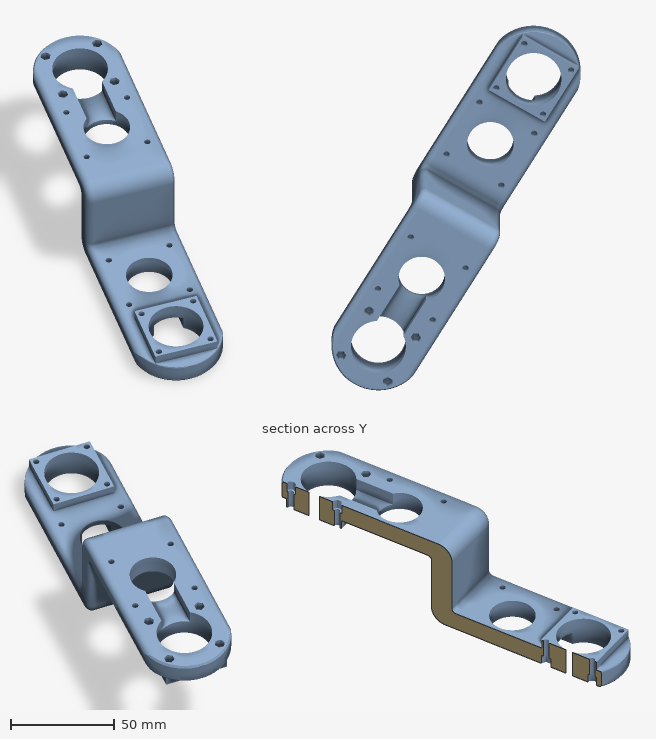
import cadquery as cq
import math

length = 191.0
width = 45.0
height = 49.0
arm_thickness = 10.0
web_thickness = 12.0

outer_bend_radius = 8.0
inner_bend_radius = 2.0
side_fillet = 3.0
strip_overlength = 11.5

end_radius = 22.7
end_flat_width = 5.2
outer_rim_drop = 1.1
outer_rim_inset = 0.8
inner_rim_drop = 0.5
inner_rim_inset = 0.2

end_hole_x = length / 2 - width / 2
upper_end_hole_diameter = 27.0
lower_end_hole_diameter = 26.5
middle_hole_x = 32.3
middle_hole_diameter = 22.5
pad_size = 31.7
pad_thickness = 5.0
screw_diameter = 3.0
end_screw_spacing = 26.4
middle_screw_spacing = 31.0
nut_corner_diameter = 5.2
nut_depth = arm_thickness / 2
channel_width = 14.9
channel_depth = 6.9

top_z = height / 2
arm_underside_z = top_z - arm_thickness


def half_turn(shape):
    """Copy for the lower arm: the arms match after a half turn about Y."""
    return shape.rotate((0, 0, 0), (0, 1, 0), 180)


def bent_strip():
    """Z-shaped strip with rounded bends and long edges, left overlong for trimming."""
    strip_end_x = length / 2 + strip_overlength
    web_x = web_thickness / 2
    profile = [
        (-strip_end_x, top_z),
        (web_x, top_z),
        (web_x, -arm_underside_z),
        (strip_end_x, -arm_underside_z),
        (strip_end_x, -top_z),
        (-web_x, -top_z),
        (-web_x, arm_underside_z),
        (-strip_end_x, arm_underside_z),
    ]
    strip = cq.Workplane("XZ").polyline(profile).close().extrude(width / 2, both=True)

    def bend_edges(x, z):
        reach = 0.2
        box = cq.selectors.BoxSelector(
            (x - reach, -width, z - reach), (x + reach, width, z + reach)
        )
        return strip.edges("|Y").edges(box)

    for side in (1, -1):
        strip = bend_edges(side * web_x, side * top_z).fillet(outer_bend_radius)
        strip = bend_edges(-side * web_x, side * arm_underside_z).fillet(inner_bend_radius)

    return strip.faces("<Y or >Y").edges("not(|Z and (<X or >X))").fillet(side_fillet)


def upper_arm_outline():
    """Round-ended plate with bevelled rims, flattened at both tips."""
    tip_sagitta = end_radius - math.sqrt(end_radius**2 - (end_flat_width / 2) ** 2)
    plate = cq.Workplane("XY", origin=(0, 0, arm_underside_z))
    plate = plate.slot2D(length + 2 * tip_sagitta, 2 * end_radius).extrude(arm_thickness)
    plate = plate.faces(">Z").chamfer(outer_rim_drop, outer_rim_inset)
    plate = plate.faces("<Z").chamfer(inner_rim_drop, inner_rim_inset)
    return plate.intersect(cq.Workplane("XY").box(length, 2 * end_radius, height))


def trim_block():
    """Space that the finished strip may fill: both arm outlines and the web between them."""
    arm = upper_arm_outline()
    web_zone_length = web_thickness + 2 * (inner_bend_radius + side_fillet)
    web_zone = cq.Workplane("XY").box(web_zone_length, 2 * end_radius, height)
    return web_zone.union(arm).union(half_turn(arm))


def nut_pockets():
    """Four hexagonal pockets, each a quarter turn about the end hole from the last."""
    first = cq.Workplane("XY", origin=(end_screw_spacing / 2, end_screw_spacing / 2, top_z))
    first = first.transformed(rotate=(0, 0, 90)).polygon(6, nut_corner_diameter).extrude(-nut_depth)
    pockets = first
    for angle in (90, 180, 270):
        pockets = pockets.union(first.rotate((0, 0, 0), (0, 0, 1), angle))
    return pockets.translate((-end_hole_x, 0, 0))


def upper_pad():
    """Square pad under the upper arm, centered on the end hole."""
    pad = cq.Workplane("XY", origin=(-end_hole_x, 0, arm_underside_z))
    return pad.rect(pad_size, pad_size).extrude(-pad_thickness)


def arm_cuts(end_hole_diameter):
    """Everything removed from an arm and its pad, placed for the upper arm."""
    drill_depth = arm_thickness + pad_thickness
    top = cq.Workplane("XY", origin=(0, 0, top_z))
    cuts = top.center(-end_hole_x, 0).circle(end_hole_diameter / 2).extrude(-drill_depth)
    cuts = cuts.union(top.center(-middle_hole_x, 0).circle(middle_hole_diameter / 2).extrude(-drill_depth))

    channel_length = end_hole_x - middle_hole_x
    channel = top.center(-(end_hole_x + middle_hole_x) / 2, 0)
    cuts = cuts.union(channel.rect(channel_length, channel_width).extrude(-channel_depth))

    for center_x, spacing in ((end_hole_x, end_screw_spacing), (middle_hole_x, middle_screw_spacing)):
        screws = top.center(-center_x, 0).rect(spacing, spacing, forConstruction=True).vertices()
        cuts = cuts.union(screws.circle(screw_diameter / 2).extrude(-drill_depth))
    return cuts.union(nut_pockets())


pad = upper_pad()
body = bent_strip().intersect(trim_block())
body = body.union(pad).union(half_turn(pad))
body = body.cut(arm_cuts(upper_end_hole_diameter))
result = body.cut(half_turn(arm_cuts(lower_end_hole_diameter)))